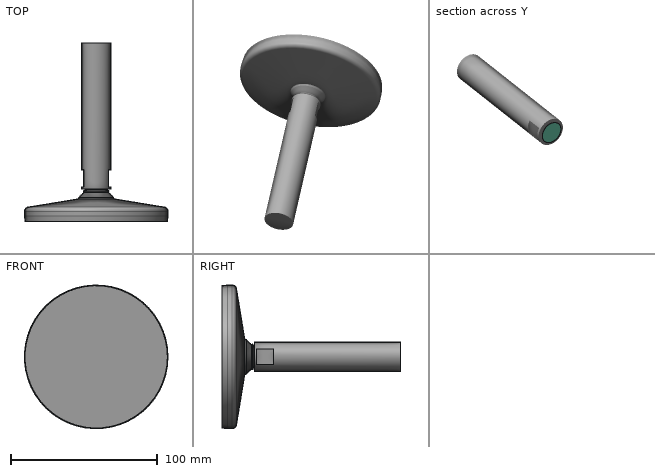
import cadquery as cq
import math


OVERALL_LENGTH = 122.0

BASE_DIAMETER = 97.98
UNDERSIDE_DIAMETER = 97.2
RIM_TAPER_TOP = 4.0
RIM_TOP = 7.0
SHOULDER_RADIUS = 3.0
SLOPE_ANGLE = 9.3
NECK_FOOT_RADIUS = 12.2
NECK_STEP_RADIUS = 11.7
NECK_STEP_HEIGHT = 1.1
NECK_TOP_RADIUS = 8.3
NECK_TOP = 20.1

STUD_DIAMETER = 20.0
STUD_BOTTOM = 22.25
COLLAR_RADIUS = 8.7
COLLAR_HEIGHT = 20.9
COLLAR_DOME_MIDDLE = (7.5, 21.65)
COLLAR_TOP_RADIUS = 6.1
COLLAR_TOP = 22.05

FLATS_WIDTH = 17.0
FLATS_LENGTH = 11.6
FLATS_OFFSET = 1.5


def make_base():
    """Disc with a tapered rim, rounded shoulder, conical top and neck."""
    rim_radius = BASE_DIAMETER / 2
    slope = math.radians(SLOPE_ANGLE)

    round_center = rim_radius - SHOULDER_RADIUS

    def on_round(angle):
        return (
            round_center + SHOULDER_RADIUS * math.cos(angle),
            RIM_TOP + SHOULDER_RADIUS * math.sin(angle),
        )

    round_sweep = math.pi / 2 - slope
    round_end = on_round(round_sweep)
    neck_foot = round_end[1] + (round_end[0] - NECK_FOOT_RADIUS) * math.tan(slope)

    return (
        cq.Workplane("XY")
        .lineTo(UNDERSIDE_DIAMETER / 2, 0)
        .lineTo(rim_radius, RIM_TAPER_TOP)
        .lineTo(rim_radius, RIM_TOP)
        .threePointArc(on_round(round_sweep / 2), round_end)
        .lineTo(NECK_FOOT_RADIUS, neck_foot)
        .lineTo(NECK_STEP_RADIUS, neck_foot + NECK_STEP_HEIGHT)
        .lineTo(NECK_TOP_RADIUS, NECK_TOP)
        .lineTo(0, NECK_TOP)
        .close()
        .revolve(360, (0, 0), (0, 1))
    )


def make_stud():
    """Round shank standing on a domed, sharp-edged collar, with two wrench flats."""
    stud_radius = STUD_DIAMETER / 2
    stud = (
        cq.Workplane("XY")
        .moveTo(0, NECK_TOP)
        .lineTo(NECK_TOP_RADIUS, NECK_TOP)
        .lineTo(COLLAR_RADIUS, COLLAR_HEIGHT)
        .threePointArc(COLLAR_DOME_MIDDLE, (COLLAR_TOP_RADIUS, COLLAR_TOP))
        .lineTo(COLLAR_TOP_RADIUS, STUD_BOTTOM)
        .lineTo(stud_radius, STUD_BOTTOM)
        .lineTo(stud_radius, OVERALL_LENGTH)
        .lineTo(0, OVERALL_LENGTH)
        .close()
        .revolve(360, (0, 0), (0, 1))
    )

    cutter_depth = stud_radius
    flats_middle = STUD_BOTTOM + FLATS_OFFSET + FLATS_LENGTH / 2
    for side in (-1, 1):
        cutter = cq.Workplane("XY").box(cutter_depth, FLATS_LENGTH, STUD_DIAMETER)
        cutter_middle = side * (FLATS_WIDTH + cutter_depth) / 2
        stud = stud.cut(cutter.translate((cutter_middle, flats_middle, 0)))
    return stud


base = make_base()
stud = make_stud()

result = cq.Compound.makeCompound([base.val(), stud.val()])